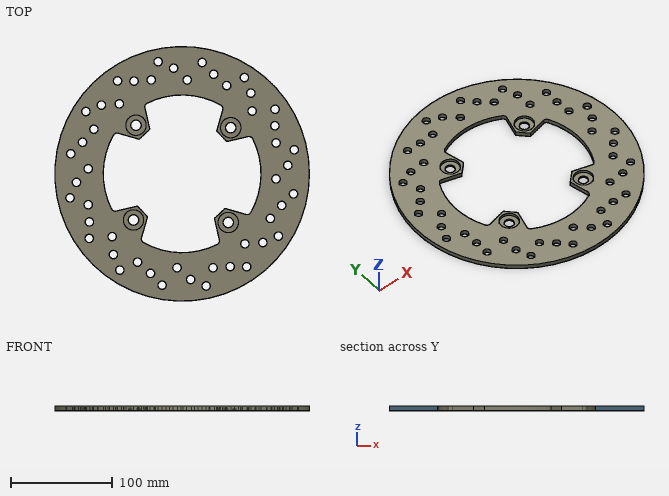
import cadquery as cq
import math

disc_diameter = 251.0
thickness = 5.0
window_radius = 77.5

tab_count = 4
first_tab_angle = 43.5
tab_angles = [first_tab_angle + i * 360 / tab_count for i in range(tab_count)]
tab_tip_radius = 53.7
tab_tip_half_width = 7.3
tab_flank_angle = 30.5
root_fillet = 4.0

bolt_circle_radius = 66.0
bolt_diameter = 10.0
counterbore_diameter = 20.0
counterbore_depth = 3.0

vent_diameter = 8.0
vent_group_count = 8
vent_group = [
    (92.5, -3.1),
    (104.5, 4.6),
    (113.0, 12.1),
    (97.5, 18.2),
    (103.0, 27.4),
    (111.5, 34.8),
]


def polar(radius, angle):
    """Point at a radius and an angle in degrees."""
    return radius * math.cos(math.radians(angle)), radius * math.sin(math.radians(angle))


def make_tab():
    """Tapered tab along +X, reaching from its flat tip past the window rim."""
    base_radius = window_radius + root_fillet
    base_half_width = tab_tip_half_width + (base_radius - tab_tip_radius) * math.tan(
        math.radians(tab_flank_angle)
    )
    return (
        cq.Workplane("XY")
        .moveTo(tab_tip_radius, -tab_tip_half_width)
        .lineTo(base_radius, -base_half_width)
        .lineTo(base_radius, base_half_width)
        .lineTo(tab_tip_radius, tab_tip_half_width)
        .close()
        .extrude(thickness)
    )


def make_window():
    """Round central opening less the tabs, with rounded corners at the tab roots."""
    window = cq.Workplane("XY").circle(window_radius).extrude(thickness)
    tab = make_tab()
    for angle in tab_angles:
        window = window.cut(tab.rotate((0, 0, 0), (0, 0, 1), angle))
    root_corners = window.edges("|Z").filter(
        lambda edge: math.hypot(edge.Center().x, edge.Center().y) > bolt_circle_radius
    )
    return root_corners.fillet(root_fillet)


bolt_points = [polar(bolt_circle_radius, angle) for angle in tab_angles]
vent_points = [
    polar(radius, angle + i * 360 / vent_group_count)
    for i in range(vent_group_count)
    for radius, angle in vent_group
]

disc = cq.Workplane("XY").circle(disc_diameter / 2).extrude(thickness).cut(make_window())
result = (
    disc.faces(">Z")
    .workplane(origin=(0, 0, thickness))
    .pushPoints(bolt_points)
    .cboreHole(bolt_diameter, counterbore_diameter, counterbore_depth)
    .faces(">Z")
    .workplane(origin=(0, 0, thickness))
    .pushPoints(vent_points)
    .hole(vent_diameter)
)